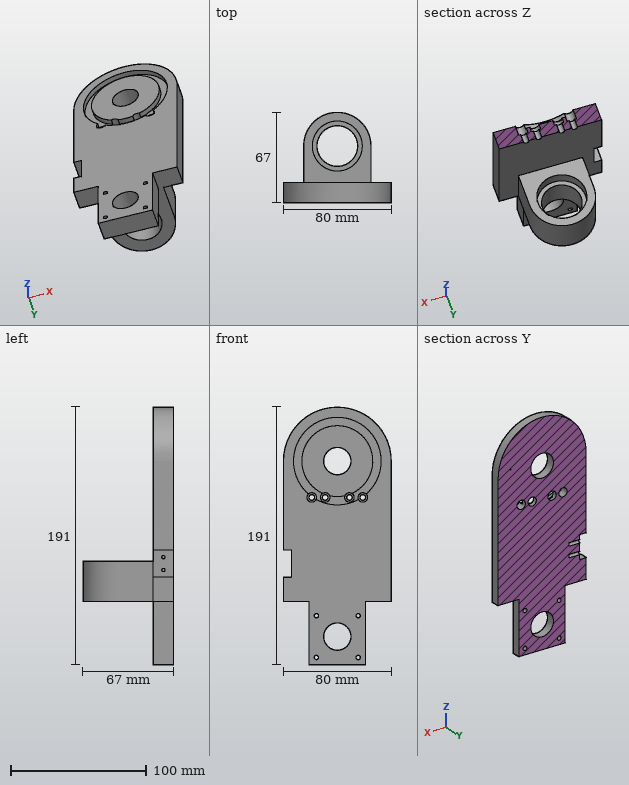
import cadquery as cq

total_height = 191.0
plate_width = 80.0
plate_thickness = 15.0
shoulder_height = 47.0
tongue_width = 42.0

head_radius = plate_width / 2
head_height = total_height - head_radius
bore_diameter = 20.0
groove_outer_diameter = 65.0
groove_inner_diameter = 52.5
groove_depth = 4.0

screw_row_drop = 27.0
screw_offsets = (9.0, 19.0)
screw_diameter = 4.0
screw_head_diameter = 7.0
screw_head_depth = 8.0

tongue_bore_height = 21.0
tongue_hole_spacing = 31.0
tongue_hole_diameter = 3.0

notch_depth = 6.0
notch_length = 20.0
notch_center_height = 75.0
notch_hole_spacing = 9.5
notch_hole_diameter = 2.5
notch_hole_depth = 9.5

bracket_width = 50.0
bracket_height = 30.0
bracket_reach = 67.0
bracket_radius = bracket_width / 2
bracket_center_y = bracket_reach - bracket_radius
bracket_top = shoulder_height + bracket_height
bracket_bore_diameter = 30.0
bearing_seat_diameter = 37.0
bearing_seat_depth = 9.0


def cylinder_from_front(x, z, diameter, depth):
    """Cylinder running from the front face into the plate."""
    return cq.Workplane("XZ", origin=(x, 0, z)).circle(diameter / 2).extrude(-depth)


def cylinder_from_bracket_top(diameter, depth):
    """Cylinder running down from the top of the bracket."""
    plane = cq.Workplane("XY", origin=(0, bracket_center_y, bracket_top))
    return plane.circle(diameter / 2).extrude(-depth)


def make_plate():
    return (
        cq.Workplane("XZ")
        .moveTo(-tongue_width / 2, 0)
        .lineTo(tongue_width / 2, 0)
        .lineTo(tongue_width / 2, shoulder_height)
        .lineTo(head_radius, shoulder_height)
        .lineTo(head_radius, head_height)
        .threePointArc((0, total_height), (-head_radius, head_height))
        .lineTo(-head_radius, shoulder_height)
        .lineTo(-tongue_width / 2, shoulder_height)
        .close()
        .extrude(-plate_thickness)
    )


def make_bracket():
    return (
        cq.Workplane("XY", origin=(0, 0, shoulder_height))
        .moveTo(-bracket_radius, plate_thickness)
        .lineTo(bracket_radius, plate_thickness)
        .lineTo(bracket_radius, bracket_center_y)
        .threePointArc((0, bracket_reach), (-bracket_radius, bracket_center_y))
        .close()
        .extrude(bracket_height)
        .cut(cylinder_from_bracket_top(bracket_bore_diameter, bracket_height))
        .cut(cylinder_from_bracket_top(bearing_seat_diameter, bearing_seat_depth))
    )


def cut_head(plate):
    groove = cylinder_from_front(0, head_height, groove_outer_diameter, groove_depth).cut(
        cylinder_from_front(0, head_height, groove_inner_diameter, groove_depth)
    )
    plate = plate.cut(groove)
    plate = plate.cut(cylinder_from_front(0, head_height, bore_diameter, plate_thickness))
    screw_height = head_height - screw_row_drop
    for offset in screw_offsets:
        for x in (-offset, offset):
            plate = plate.cut(cylinder_from_front(x, screw_height, screw_diameter, plate_thickness))
            plate = plate.cut(cylinder_from_front(x, screw_height, screw_head_diameter, screw_head_depth))
    return plate


def cut_tongue(plate):
    plate = plate.cut(cylinder_from_front(0, tongue_bore_height, bore_diameter, plate_thickness))
    half_spacing = tongue_hole_spacing / 2
    for x in (-half_spacing, half_spacing):
        for z in (tongue_bore_height - half_spacing, tongue_bore_height + half_spacing):
            plate = plate.cut(cylinder_from_front(x, z, tongue_hole_diameter, plate_thickness))
    return plate


def cut_notch(plate):
    notch_floor_x = -head_radius + notch_depth
    notch = cq.Workplane("XY").box(notch_depth, plate_thickness, notch_length).translate(
        (notch_floor_x - notch_depth / 2, plate_thickness / 2, notch_center_height)
    )
    holes = (
        cq.Workplane("YZ", origin=(notch_floor_x, plate_thickness / 2, notch_center_height))
        .rarray(2, notch_hole_spacing, 1, 2)
        .circle(notch_hole_diameter / 2)
        .extrude(notch_hole_depth)
    )
    return plate.cut(notch).cut(holes)


plate = cut_notch(cut_tongue(cut_head(make_plate())))
result = plate.union(make_bracket())